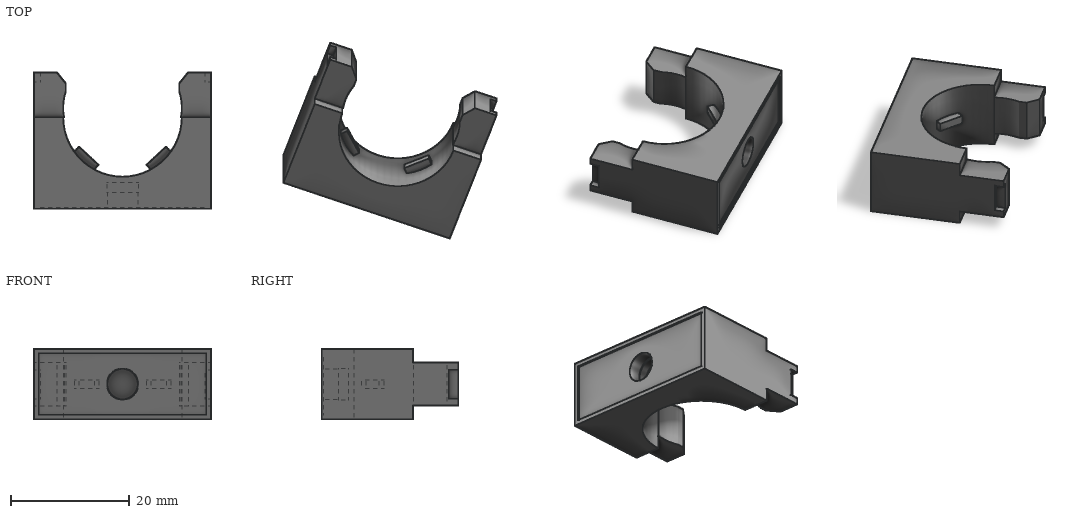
import cadquery as cq

width = 29.97
depth = 23.1
height = 11.93
body_depth = 15.45

saddle_radius = 10.0

arm_height = 7.3
arm_root_half_gap = 9.85
arm_belly_half_gap = 10.0
arm_belly_y = 17.55
arm_lip_half_gap = 9.55
arm_lip_start_y = 19.9
arm_lip_end_y = 21.2
arm_tip_half_gap = 11.1

notch_height = 4.92
notch_length = 1.6
notch_width = 1.1

recess_margin = 0.78
recess_depth = 0.3
hole_radius = 2.58
hole_length = 2.52
chamber_radius = 2.7
chamber_end_y = 4.5

pad_width = 4.53
pad_height = 1.5
pad_face_radius = 8.63
pad_angle = 47.0
pad_shift = 0.25


def make_body():
    body = cq.Workplane("XY").box(width, body_depth, height, centered=(True, False, True))
    saddle = cq.Workplane("XY").cylinder(height, saddle_radius).translate((0, body_depth, 0))
    return body.cut(saddle)


def make_right_arm():
    arm = (
        cq.Workplane("XY", origin=(0, 0, -arm_height / 2))
        .moveTo(width / 2, body_depth)
        .lineTo(arm_root_half_gap, body_depth)
        .threePointArc((arm_belly_half_gap, arm_belly_y), (arm_lip_half_gap, arm_lip_start_y))
        .lineTo(arm_lip_half_gap, arm_lip_end_y)
        .lineTo(arm_tip_half_gap, depth)
        .lineTo(width / 2, depth)
        .close()
        .extrude(arm_height)
    )
    notch = (
        cq.Workplane("XY")
        .box(notch_width, notch_length, notch_height)
        .translate((width / 2 - notch_width / 2, depth - notch_length / 2, 0))
    )
    return arm.cut(notch)


def make_right_pad():
    pad_thickness = saddle_radius - pad_face_radius
    return (
        cq.Workplane("XY")
        .box(pad_thickness, pad_width, pad_height)
        .translate((pad_face_radius + pad_thickness / 2, -pad_shift, 0))
        .rotate((0, 0, 0), (0, 0, 1), -pad_angle)
        .translate((0, body_depth, 0))
    )


def blind_bore(radius, start_y, end_y):
    axis = cq.Vector(0, 1, 0)
    return cq.Workplane(cq.Solid.makeCylinder(radius, end_y - start_y, cq.Vector(0, start_y, 0), axis))


def make_face_cut():
    recess = cq.Workplane("XY").box(
        width - 2 * recess_margin, recess_depth, height - 2 * recess_margin, centered=(True, False, True)
    )
    hole_end_y = recess_depth + hole_length
    hole = blind_bore(hole_radius, 0, hole_end_y)
    chamber = blind_bore(chamber_radius, hole_end_y, chamber_end_y)
    return recess.union(hole).union(chamber)


result = make_body()
for right_half in (make_right_arm(), make_right_pad()):
    result = result.union(right_half).union(right_half.mirror("YZ"))
result = result.cut(make_face_cut())